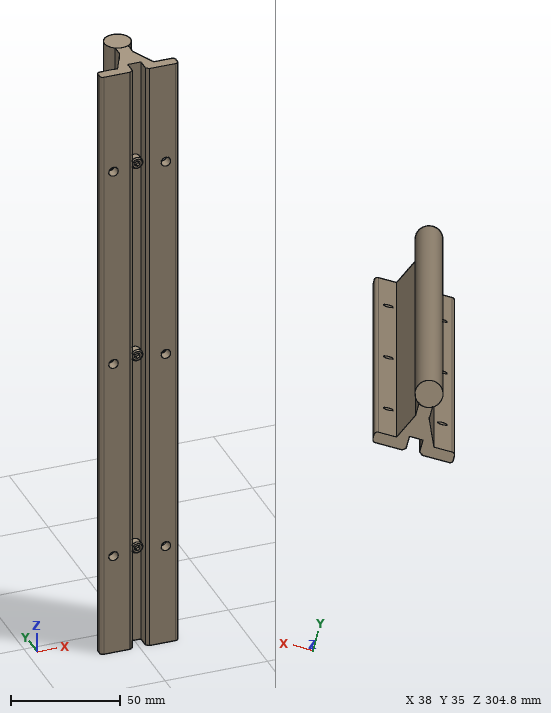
import cadquery as cq
import math

LENGTH = 304.8
BASE_WIDTH = 38.0
BASE_THICKNESS = 5.2
TOTAL_HEIGHT = 35.0
TIP_RADIUS = 1.5
WEB_FOOT_WIDTH = 17.7
NECK_WIDTH = 6.5
NECK_START = 17.5

SLOT_WIDTH = 6.5
SLOT_DEPTH = 7.0
MOUTH_CHAMFER_WIDTH = 1.5
MOUTH_CHAMFER_DEPTH = 1.2

SHAFT_DIAMETER = 12.8

HOLE_PITCH = 101.5
STATIONS = [-HOLE_PITCH, 0.0, HOLE_PITCH]
MOUNT_HOLE_DIAMETER = 4.5
MOUNT_HOLE_SPACING = 25.5

HEAD_DIAMETER = 5.8
HEAD_HEIGHT = 4.0
HEAD_CHAMFER = 0.5
SHANK_DIAMETER = 3.5
THREAD_DEPTH = 4.5
SOCKET_SIDES = 6
SOCKET_FLATS = 2.5
SOCKET_DEPTH = 1.8

UNDERSIDE_Y = -TOTAL_HEIGHT / 2
BASE_TOP_Y = UNDERSIDE_Y + BASE_THICKNESS
NECK_START_Y = UNDERSIDE_Y + NECK_START
SLOT_FLOOR_Y = UNDERSIDE_Y + SLOT_DEPTH
SHAFT_RADIUS = SHAFT_DIAMETER / 2
SHAFT_Y = TOTAL_HEIGHT / 2 - SHAFT_RADIUS
SHAFT_BOTTOM_Y = SHAFT_Y - SHAFT_RADIUS


def cylinder_along_y(diameter, x, start_y, end_y, z):
    """Cylinder parallel to Y between two Y positions."""
    length = end_y - start_y
    return cq.Workplane(cq.Solid.makeCylinder(
        diameter / 2, length, cq.Vector(x, start_y, z), cq.Vector(0, 1, 0)))


def make_shaft_blank():
    """Plain round bar along the full length."""
    return (
        cq.Workplane("XY", origin=(0, SHAFT_Y, -LENGTH / 2))
        .circle(SHAFT_RADIUS)
        .extrude(LENGTH)
    )


def make_screw(z):
    """Socket head screw whose head bears on the slot floor and whose shank ends in the shaft."""
    head_face_y = SLOT_FLOOR_Y - HEAD_HEIGHT
    head = cylinder_along_y(HEAD_DIAMETER, 0, head_face_y, SLOT_FLOOR_Y, z)
    shank = cylinder_along_y(SHANK_DIAMETER, 0, SLOT_FLOOR_Y, SHAFT_BOTTOM_Y + THREAD_DEPTH, z)
    socket_corners = SOCKET_FLATS / math.cos(math.pi / SOCKET_SIDES)
    socket = (
        cq.Workplane("XZ", origin=(0, head_face_y, z))
        .transformed(rotate=(0, 0, 180 / SOCKET_SIDES))
        .polygon(SOCKET_SIDES, socket_corners)
        .extrude(-SOCKET_DEPTH)
    )
    return head.faces("<Y").chamfer(HEAD_CHAMFER).union(shank).cut(socket)


def make_shaft(screws):
    """Round bar with a matching hole for each screw."""
    shaft = make_shaft_blank()
    for screw in screws:
        shaft = shaft.cut(screw)
    return shaft


def make_profile():
    """Rail cross-section, symmetric about X = 0, reaching up to the axis of the shaft."""
    right_half = [
        (SLOT_WIDTH / 2, SLOT_FLOOR_Y),
        (SLOT_WIDTH / 2, UNDERSIDE_Y + MOUTH_CHAMFER_DEPTH),
        (SLOT_WIDTH / 2 + MOUTH_CHAMFER_WIDTH, UNDERSIDE_Y),
        (BASE_WIDTH / 2, UNDERSIDE_Y),
        (BASE_WIDTH / 2, BASE_TOP_Y),
        (WEB_FOOT_WIDTH / 2, BASE_TOP_Y),
        (NECK_WIDTH / 2, NECK_START_Y),
        (NECK_WIDTH / 2, SHAFT_Y),
    ]
    left_half = [(-x, y) for x, y in reversed(right_half)]
    return cq.Workplane("XY", origin=(0, 0, -LENGTH / 2)).polyline(right_half + left_half).close()


def make_rail(screws):
    """Extruded rail with rounded base edges, a seat for the shaft and all its holes."""
    rail = make_profile().extrude(LENGTH)
    for x in (-BASE_WIDTH / 2, BASE_WIDTH / 2):
        for y in (UNDERSIDE_Y, BASE_TOP_Y):
            rail = rail.edges(cq.NearestToPointSelector((x, y, 0))).fillet(TIP_RADIUS)
    rail = rail.cut(make_shaft_blank())
    for screw in screws:
        rail = rail.cut(screw)
    for z in STATIONS:
        for x in (-MOUNT_HOLE_SPACING / 2, MOUNT_HOLE_SPACING / 2):
            rail = rail.cut(cylinder_along_y(MOUNT_HOLE_DIAMETER, x, UNDERSIDE_Y, BASE_TOP_Y, z))
    return rail


screws = [make_screw(z) for z in STATIONS]
shaft = make_shaft(screws)
rail = make_rail(screws)

result = cq.Compound.makeCompound([rail.val(), shaft.val(), *[screw.val() for screw in screws]])